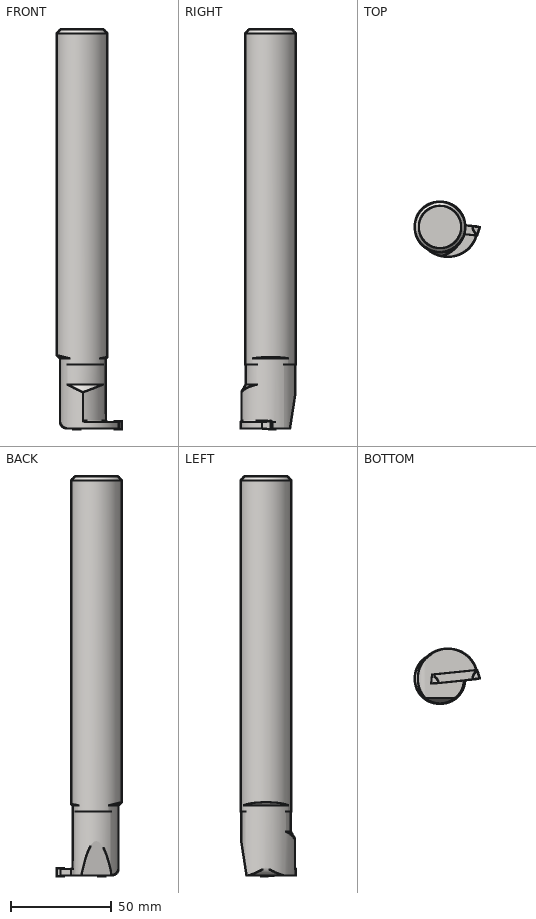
import cadquery as cq
import math

shank_diameter = 25.4
shank_radius = shank_diameter / 2
total_height = 200.0
shank_chamfer = 2.1
bar_bottom = 0.35

core_radius = 12.4
core_top = 32.4
core_bottom = 22.4
core_cone_angle = 60.0
clear_radius = 25.0

lens_radius = 15.0
front_arc_x = 3.9
pocket_arc_x = -3.0
lens_top = 35.5
lens_flare = 3.0

flange_top = 3.8
flange_foot_radius = 0.6

taper_height = 17.5
taper_bottom_y = 9.7
corner_radius = 4.0
web_inner_y = 2.6
web_outer_x = 14.2
web_bottom_y = 0.4

insert_tip_x = 19.95
insert_length = 24.5
insert_tilt = -5.8
body_top_y = 0.15
body_bottom_y = -4.4
body_inset = 2.0
tooth_height = 4.15
tooth_root = 3.7
tooth_depth = 3.2
tooth_root_mid_x = 3.15
tooth_root_mid_y = 1.9
tooth_end_relief = 0.9

arc_inset = 1 - math.sqrt(0.5)


def turned(outline, axis_x):
    """Revolve an (r, z) outline, closed along the axis, about the vertical line X = axis_x."""
    return outline.close().revolve(360, (0, 0, 0), (0, 1, 0)).translate((axis_x, 0, 0))


def make_turned_blank():
    cone_height = core_bottom - bar_bottom
    flank_radius = core_radius + cone_height / math.tan(math.radians(core_cone_angle))
    outline = (
        cq.Workplane("XZ")
        .moveTo(0, bar_bottom)
        .lineTo(flank_radius, bar_bottom)
        .lineTo(core_radius, core_bottom)
        .lineTo(core_radius, core_top)
        .lineTo(shank_radius, core_top)
        .lineTo(shank_radius, total_height - shank_chamfer)
        .lineTo(shank_radius - shank_chamfer, total_height)
        .lineTo(0, total_height)
    )
    return turned(outline, 0)


def finish_lens_side(outline):
    """Take a lens flank at its full height out to the shank and up to the top."""
    return (
        outline
        .lineTo(lens_radius, lens_top)
        .lineTo(lens_radius + lens_flare, lens_top + lens_flare)
        .lineTo(lens_radius + lens_flare, total_height)
        .lineTo(0, total_height)
    )


def make_front_side():
    outline = cq.Workplane("XZ").moveTo(0, bar_bottom).lineTo(lens_radius, bar_bottom)
    return turned(finish_lens_side(outline), front_arc_x)


def make_pocket_side():
    """The +X arc, standing on the flange with a small foot fillet."""
    foot_edge = lens_radius + flange_foot_radius
    foot_top = flange_top + flange_foot_radius
    diagonal = flange_foot_radius * arc_inset
    outline = (
        cq.Workplane("XZ")
        .moveTo(0, bar_bottom)
        .lineTo(clear_radius, bar_bottom)
        .lineTo(clear_radius, flange_top)
        .lineTo(foot_edge, flange_top)
        .threePointArc((lens_radius + diagonal, flange_top + diagonal), (lens_radius, foot_top))
    )
    return turned(finish_lens_side(outline), pocket_arc_x)


def make_back_clearance():
    """Material to remove on the +Y side, leaving the core and the web beside the insert."""
    block = (
        cq.Workplane("XY")
        .rect(2 * clear_radius, clear_radius)
        .extrude(core_bottom)
        .translate((0, clear_radius / 2, 0))
    )
    core = cq.Workplane("XY").circle(core_radius).extrude(core_bottom)
    pocket_arc = cq.Workplane("XY").center(pocket_arc_x, 0).circle(lens_radius).extrude(core_bottom)
    web_inner_x = pocket_arc_x + math.sqrt(lens_radius**2 - web_inner_y**2)
    web_middle = (
        web_inner_x + arc_inset * (web_outer_x - web_inner_x),
        web_bottom_y + arc_inset * (web_inner_y - web_bottom_y),
    )
    web = (
        cq.Workplane("XY")
        .moveTo(0, 0)
        .lineTo(web_outer_x, 0)
        .lineTo(web_outer_x, web_bottom_y)
        .threePointArc(web_middle, (web_inner_x, web_inner_y))
        .lineTo(0, web_inner_y)
        .close()
        .extrude(flange_top)
    )
    return block.cut(core.intersect(pocket_arc)).cut(web)


def make_back_taper():
    return (
        cq.Workplane("YZ")
        .moveTo(taper_bottom_y, 0)
        .lineTo(core_radius, taper_height)
        .lineTo(clear_radius, taper_height)
        .lineTo(clear_radius, 0)
        .close()
        .extrude(clear_radius, both=True)
    )


def make_corner_cut():
    """Rounds the lower -X corner with a cylinder running along Y."""
    left = front_arc_x - lens_radius
    sag = corner_radius * arc_inset
    return (
        cq.Workplane("XZ")
        .moveTo(left, bar_bottom + corner_radius)
        .threePointArc((left + sag, bar_bottom + sag), (left + corner_radius, bar_bottom))
        .lineTo(left, bar_bottom)
        .close()
        .extrude(clear_radius, both=True)
    )


def make_tooth():
    """Cutting tooth with its tip at the origin, pointing along +X, narrowing away from the rake edge."""
    plan = (
        cq.Workplane("XY")
        .lineTo(-tooth_end_relief, body_bottom_y)
        .lineTo(-body_inset, body_bottom_y)
        .lineTo(-body_inset, -tooth_depth)
        .threePointArc((-tooth_root_mid_x, -tooth_root_mid_y), (-tooth_root, 0))
        .close()
        .extrude(tooth_height)
    )
    clearance = (
        cq.Workplane("YZ")
        .moveTo(0, 0)
        .lineTo(0, tooth_height)
        .lineTo(body_bottom_y, flange_top)
        .lineTo(body_bottom_y, bar_bottom)
        .close()
        .extrude(-tooth_root)
    )
    return plan.intersect(clearance)


def make_insert():
    body = (
        cq.Workplane("XY")
        .workplane(offset=bar_bottom)
        .moveTo(-body_inset, body_bottom_y)
        .lineTo(body_inset - insert_length, body_bottom_y)
        .lineTo(body_inset - insert_length, body_top_y)
        .lineTo(-body_inset, body_top_y)
        .close()
        .extrude(flange_top - bar_bottom)
    )
    tooth = make_tooth()
    far_tooth = tooth.mirror("YZ").translate((-insert_length, 0, 0))
    insert = body.union(tooth).union(far_tooth)
    return insert.rotate((0, 0, 0), (0, 0, 1), insert_tilt).translate((insert_tip_x, 0, 0))


insert = make_insert()
bar = (
    make_turned_blank()
    .intersect(make_front_side())
    .intersect(make_pocket_side())
    .cut(make_back_clearance())
    .cut(make_back_taper())
    .cut(make_corner_cut())
    .cut(insert)
)

result = cq.Compound.makeCompound([bar.solids().val(), insert.solids().val()])